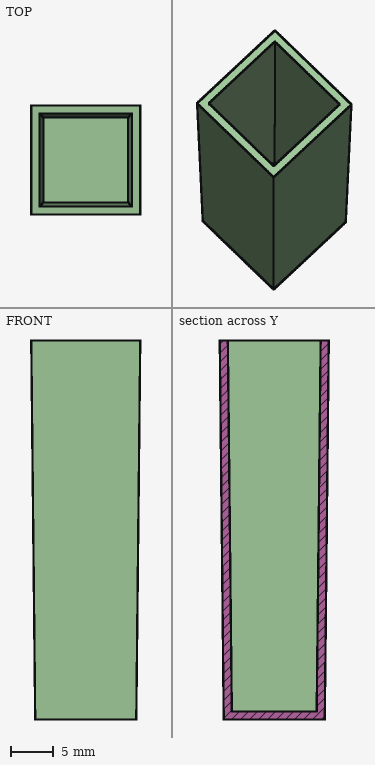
import cadquery as cq

height = 44.5
top_width = 12.8
bottom_width = 11.9
wall = 1.0
floor_thickness = wall


def tapered_block(lower_z, lower_width, upper_width):
    """Square frustum from lower_z up to the rim."""
    rise = height - lower_z
    return (
        cq.Workplane("XY", origin=(0, 0, lower_z))
        .rect(lower_width, lower_width)
        .workplane(offset=rise)
        .rect(upper_width, upper_width)
        .loft(ruled=True)
    )


body = tapered_block(0, bottom_width, top_width)
cavity = tapered_block(floor_thickness, bottom_width - 2 * wall, top_width - 2 * wall)

result = body.cut(cavity)